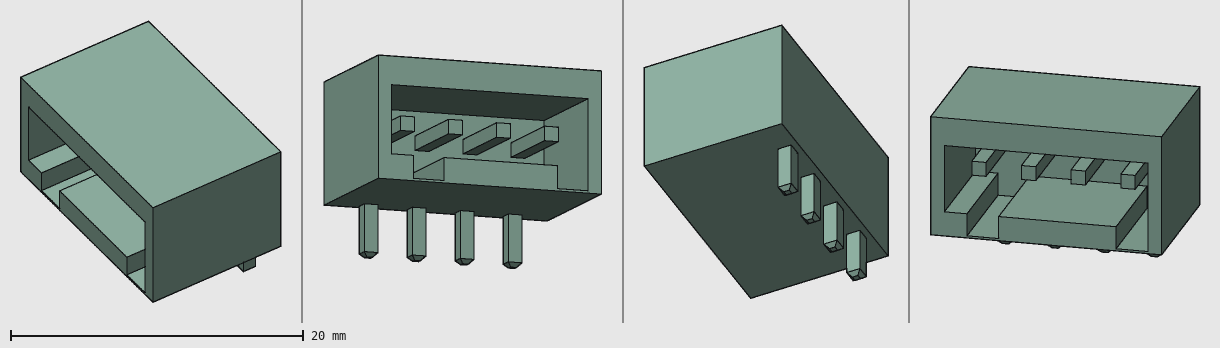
import cadquery as cq

housing_width = 16.3
housing_depth = 10.5
housing_height = 8.57
side_wall = 0.98
top_wall = 2.0
back_wall = 2.0
floor_thickness = 1.76

slot_width = 2.23
slot_floor = 0.16
left_slot_offset = 1.6

pin_count = 4
pin_pitch = 3.5
pin_size = 1.01
pin_height = 4.35
pin_front_setback = 2.02
pin_leg_inset = 0.98
pin_leg_length = 3.62
tip_chamfer = 0.3

cavity_width = housing_width - 2 * side_wall
cavity_depth = housing_depth - back_wall
cavity_height = housing_height - top_wall - floor_thickness
slot_depth = floor_thickness - slot_floor
leg_y = housing_depth - pin_leg_inset


def front_block(left, bottom, width, height):
    """Block that opens at the front face and reaches back to the rear wall."""
    return (
        cq.Workplane("XY")
        .box(width, cavity_depth, height, centered=False)
        .translate((left, 0, bottom))
    )


def make_housing():
    shell = cq.Workplane("XY").box(
        housing_width, housing_depth, housing_height, centered=(True, False, False)
    )
    cavity_left = -cavity_width / 2
    cavity = front_block(cavity_left, floor_thickness, cavity_width, cavity_height)
    shell = shell.cut(cavity)
    right_slot_left = cavity_width / 2 - slot_width
    for slot_left in (cavity_left + left_slot_offset, right_slot_left):
        shell = shell.cut(front_block(slot_left, slot_floor, slot_width, slot_depth))
    return shell


def make_pin(x):
    """L-shaped pin: a contact facing the front and a leg with a tapered tip."""
    contact_length = leg_y + pin_size / 2 - pin_front_setback
    contact = (
        cq.Workplane("XY")
        .box(pin_size, contact_length, pin_size, centered=(True, False, True))
        .translate((x, pin_front_setback, pin_height))
    )
    leg = (
        cq.Workplane("XY")
        .box(pin_size, pin_size, pin_leg_length + pin_height, centered=(True, True, False))
        .faces("<Z")
        .chamfer(tip_chamfer)
        .translate((x, leg_y, -pin_leg_length))
    )
    return contact.union(leg)


result = make_housing()
for index in range(pin_count):
    pin_x = (index - (pin_count - 1) / 2) * pin_pitch
    result = result.union(make_pin(pin_x))